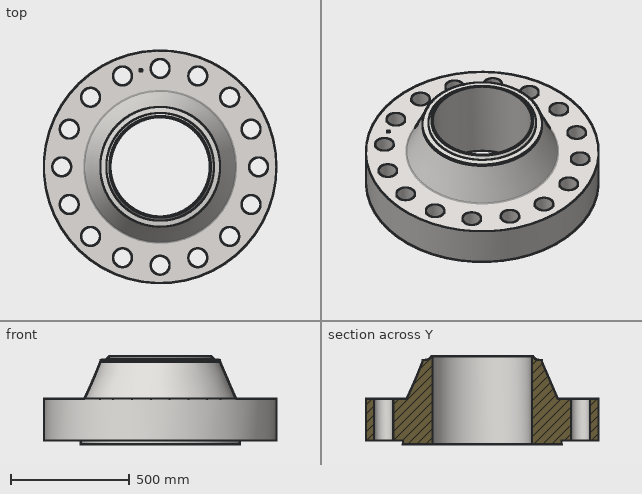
import cadquery as cq
import math

disc_diameter = 984.0
disc_thickness = 178.0
face_diameter = 673.0
face_height = 16.0
overall_height = 373.0
bore_diameter = 419.0

hub_base_diameter = 641.0
hub_root_fillet = 4.0
hub_top_diameter = 507.0
band_height = 8.0
shoulder_inner_diameter = 456.0
shoulder_rise = 3.0
bevel_height = 13.0
bevel_angle = 45.0

bolt_count = 16
bolt_circle_diameter = 831.0
bolt_hole_diameter = 79.0

small_hole_diameter = 12.0
small_hole_depth = 25.0
small_hole_angle = 90.0 + 0.5 * 360.0 / bolt_count

disc_top = face_height + disc_thickness
bevel_bottom = overall_height - bevel_height
band_top = bevel_bottom - shoulder_rise
band_bottom = band_top - band_height


def make_body():
    """Revolve the bored half section about Z, then round the root of the hub."""
    bore_radius = bore_diameter / 2
    disc_radius = disc_diameter / 2
    face_radius = face_diameter / 2
    band_radius = hub_top_diameter / 2
    bevel_outer_radius = shoulder_inner_diameter / 2
    bevel_inner_radius = bevel_outer_radius - bevel_height * math.tan(math.radians(bevel_angle))
    section = [
        (bore_radius, 0),
        (face_radius, 0),
        (face_radius, face_height),
        (disc_radius, face_height),
        (disc_radius, disc_top),
        (hub_base_diameter / 2, disc_top),
        (band_radius, band_bottom),
        (band_radius, band_top),
        (bevel_outer_radius, bevel_bottom),
        (bevel_inner_radius, overall_height),
        (bore_radius, overall_height),
    ]
    body = cq.Workplane("XZ").polyline(section).close().revolve(360, (0, 0, 0), (0, 1, 0))

    reach = (hub_base_diameter + disc_diameter) / 4
    half_box = hub_root_fillet / 2
    hub_root = cq.selectors.BoxSelector(
        (-reach, -reach, disc_top - half_box),
        (reach, reach, disc_top + half_box),
        boundingbox=True,
    )
    return body.edges(hub_root).fillet(hub_root_fillet)


def make_bolt_holes():
    """Cylinders through the disc, evenly spaced with the first on +X."""
    return (
        cq.Workplane("XY")
        .polarArray(bolt_circle_diameter / 2, 0, 360, bolt_count)
        .circle(bolt_hole_diameter / 2)
        .extrude(disc_top)
    )


def make_small_hole():
    """Blind cylinder sunk from the top of the disc, on the bolt circle."""
    angle = math.radians(small_hole_angle)
    radius = bolt_circle_diameter / 2
    return (
        cq.Workplane("XY", origin=(0, 0, disc_top))
        .center(radius * math.cos(angle), radius * math.sin(angle))
        .circle(small_hole_diameter / 2)
        .extrude(-small_hole_depth)
    )


result = make_body().cut(make_bolt_holes()).cut(make_small_hole())